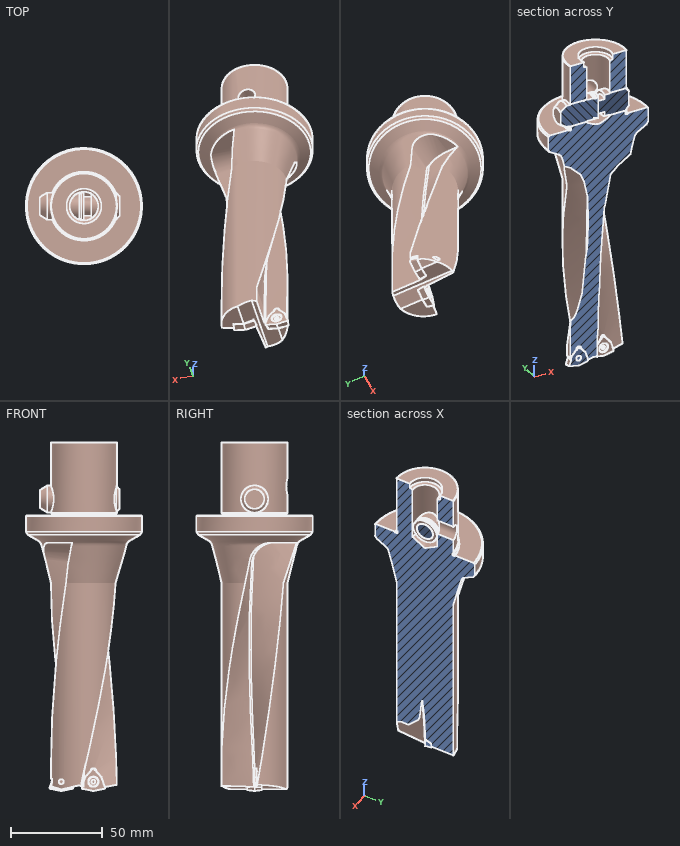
import cadquery as cq
import math


TOTAL_HEIGHT = 190.0
SHANK_R = 18.0
SHANK_CHAMFER = 0.28
DRILL_R = SHANK_R
RELIEF_R = 17.5
RELIEF_TOP_Z = 151.5
RELIEF_GROOVE_R = 18.8
RELIEF_GROOVE_DEPTH = 0.5
COLLAR_R = 31.7
COLLAR_TOP_Z = 150.3
COLLAR_TOP_CHAMFER = 0.8
COLLAR_BOTTOM_Z = 141.2
COLLAR_EDGE_R = 30.5
COLLAR_EDGE_Z = 139.5
FLANGE_R = 24.9
FLANGE_Z = 136.2
NECK_R = 23.2
NECK_Z = 133.8
NECK_MID_R = 23.8
NECK_MID_Z = 135.0
DRILL_TOP_Z = 113.5

BORE_R = 7.8
MOUTH_R = 9.5
MOUTH_DEPTH = 3.0
MOUTH_CONE_DEPTH = 0.8
BORE_BOTTOM_Z = 151.6
BORE_TIP_ANGLE = 118.0

PIN_Z = 159.0
PIN_R = 7.5
PIN_END_R = 5.3
PIN_FACE_CHAMFER = 0.5
CLAMP_PIN_END_X = -24.0
CLAMP_PIN_SHOULDER_X = -20.0
CLAMP_PIN_GROOVE_X = -2.7
CLAMP_PIN_GROOVE_WIDTH = 1.1
CLAMP_PIN_GROOVE_DEPTH = 0.5
PIN_MEETING_X = 0.0
THRUST_PIN_END_X = 19.4
THRUST_PIN_SHOULDER_X = 17.5
THRUST_PIN_NOSE_R = 5.1
THRUST_PIN_NOSE_X = 4.0
SIDE_HOLE_R = 4.8
SIDE_HOLE_Z = 165.9

FLUTE_START_Z = 13.1
FLUTE_TOP_Z = 135.3
FLUTE_SECTIONS = 10
FLUTE_REACH = 34.2
FLUTE_CORNER = 0.8
FLUTE_END_R = 12.4
FLUTE_RISE = DRILL_TOP_Z - FLUTE_START_Z
FLUTE_TURN = 72.5 / FLUTE_RISE
CORE_GROWTH = 4.8 / FLUTE_RISE
INNER_FLUTE_OFFSET = -0.5
INNER_FRONT_TILT = 4.0
INNER_BACK_TILT = 10.0
INNER_BACK_TILT_LOSS = 6.5 / FLUTE_RISE
OUTER_FLUTE_OFFSET = 5.5
BELOW_TIP_Z = -1.9

INSERT_THICKNESS = 4.0
INSERT_MID_R = 5.1
INSERT_CORNER_DISTANCE = 7.6
INSERT_RELIEF_ANGLE = 7.0
INSERT_CORNER_R = 0.5
INSERT_Z = INSERT_MID_R
INNER_INSERT_X = 5.1
OUTER_INSERT_X = -12.4
CORNER_RELIEF_R = 1.5
CORNER_RELIEF_HEIGHT = 5.9
SEAT_FLAT_X = -17.3
SEAT_FLAT_Z = 6.8
SCREW_HEAD_R = 2.8
SCREW_HEAD_DEPTH = 1.9
SCREW_R = 1.3
SCREW_SINK = 0.4
SCREW_LENGTH = 9.5
SOCKET_R = 1.1
SOCKET_DEPTH = 1.0

NOSE_Z = 1.0
NOSE_OUTER_Z = 2.7
NOSE_RIM_Z = 3.5
NOSE_MIDDLE_Z = 3.0
NOSE_MIDDLE_X = -2.8


def turned_blank():
    """Shank, collar, neck and drill body as one turned shape."""
    outline = (
        cq.Workplane("XZ")
        .moveTo(0, 0)
        .lineTo(DRILL_R, 0)
        .lineTo(DRILL_R, DRILL_TOP_Z)
        .lineTo(NECK_R, NECK_Z)
        .threePointArc((NECK_MID_R, NECK_MID_Z), (FLANGE_R, FLANGE_Z))
        .lineTo(COLLAR_EDGE_R, COLLAR_EDGE_Z)
        .lineTo(COLLAR_R, COLLAR_BOTTOM_Z)
        .lineTo(COLLAR_R, COLLAR_TOP_Z - COLLAR_TOP_CHAMFER)
        .lineTo(COLLAR_R - COLLAR_TOP_CHAMFER, COLLAR_TOP_Z)
        .lineTo(RELIEF_GROOVE_R, COLLAR_TOP_Z)
        .lineTo(RELIEF_GROOVE_R, COLLAR_TOP_Z - RELIEF_GROOVE_DEPTH)
        .lineTo(RELIEF_R, COLLAR_TOP_Z - RELIEF_GROOVE_DEPTH)
        .lineTo(RELIEF_R, RELIEF_TOP_Z - (SHANK_R - RELIEF_R))
        .lineTo(SHANK_R, RELIEF_TOP_Z)
        .lineTo(SHANK_R, TOTAL_HEIGHT - SHANK_CHAMFER)
        .lineTo(SHANK_R - SHANK_CHAMFER, TOTAL_HEIGHT)
        .lineTo(0, TOTAL_HEIGHT)
        .close()
    )
    return outline.revolve(360, (0, 0, 0), (0, 1, 0))


def bore():
    """Stepped blind bore with a conical bottom."""
    mouth_z = TOTAL_HEIGHT - MOUTH_DEPTH
    tip_z = BORE_BOTTOM_Z - BORE_R / math.tan(math.radians(BORE_TIP_ANGLE / 2))
    outline = (
        cq.Workplane("XZ")
        .moveTo(0, tip_z)
        .lineTo(BORE_R, BORE_BOTTOM_Z)
        .lineTo(BORE_R, mouth_z - MOUTH_CONE_DEPTH)
        .lineTo(MOUTH_R, mouth_z)
        .lineTo(MOUTH_R, TOTAL_HEIGHT)
        .lineTo(0, TOTAL_HEIGHT)
        .close()
    )
    return outline.revolve(360, (0, 0, 0), (0, 1, 0))


def side_hole():
    """Round hole from the +Y side of the shank into the bore."""
    return (
        cq.Workplane("XZ", origin=(0, 0, SIDE_HOLE_Z))
        .circle(SIDE_HOLE_R)
        .extrude(-COLLAR_R)
    )


def turned_about_x(points):
    """Solid of revolution about the pin axis from (x, radius) points."""
    outline = cq.Workplane("XY", origin=(0, 0, PIN_Z)).polyline(points).close()
    return outline.revolve(360, (0, 0, 0), (1, 0, 0))


def make_clamp_pin():
    """Grooved pin with a conical head that stands out of the -X side."""
    groove_end_x = CLAMP_PIN_GROOVE_X + CLAMP_PIN_GROOVE_WIDTH
    groove_r = PIN_R - CLAMP_PIN_GROOVE_DEPTH
    return turned_about_x([
        (CLAMP_PIN_END_X, 0),
        (CLAMP_PIN_END_X, PIN_END_R - PIN_FACE_CHAMFER),
        (CLAMP_PIN_END_X + PIN_FACE_CHAMFER, PIN_END_R),
        (CLAMP_PIN_SHOULDER_X, PIN_R),
        (CLAMP_PIN_GROOVE_X, PIN_R),
        (CLAMP_PIN_GROOVE_X, groove_r),
        (groove_end_x, groove_r),
        (groove_end_x, PIN_R),
        (PIN_MEETING_X, PIN_R),
        (PIN_MEETING_X, 0),
    ])


def make_thrust_pin():
    """Stepped pin that stands out of the +X side."""
    return turned_about_x([
        (PIN_MEETING_X, 0),
        (PIN_MEETING_X, THRUST_PIN_NOSE_R),
        (THRUST_PIN_NOSE_X, THRUST_PIN_NOSE_R),
        (THRUST_PIN_NOSE_X, PIN_R),
        (THRUST_PIN_SHOULDER_X, PIN_R),
        (THRUST_PIN_END_X, PIN_END_R),
        (THRUST_PIN_END_X, 0),
    ])


def pin_hole():
    """Cross hole through the shank for both pins."""
    return (
        cq.Workplane("YZ", origin=(-COLLAR_R, 0, PIN_Z))
        .circle(PIN_R)
        .extrude(2 * COLLAR_R)
    )


def direction(angle):
    """Unit vector at an angle in degrees from +X."""
    return cq.Vector(math.cos(math.radians(angle)), math.sin(math.radians(angle)), 0)


def flute_section(z, turn, offset, core, front_tilt, back_tilt):
    """Corner-shaped flute outline at height z, for the flute on the -X, +Y side.

    Without turn, the inner corner lies at X = -offset, Y = core; the front wall runs to +Y
    and the back wall to -X. The tilts turn each wall further about that corner.
    """
    front_wall = direction(90 + turn + front_tilt)
    back_wall = direction(180 + turn + back_tilt)
    corner = direction(180 + turn) * offset + direction(90 + turn) * core + cq.Vector(0, 0, z)
    return cq.Wire.makePolygon([
        corner + back_wall * FLUTE_CORNER,
        corner + front_wall * FLUTE_CORNER,
        corner + front_wall * FLUTE_REACH,
        corner + (front_wall + back_wall) * FLUTE_REACH,
        corner + back_wall * FLUTE_REACH,
    ], close=True)


def helical_flute(start_z, offset, front_tilt, start_back_tilt, back_tilt_loss):
    """Flute that turns and gets shallower upwards and ends in a rounded run-out."""
    sections = []
    for i in range(FLUTE_SECTIONS):
        z = start_z + (FLUTE_TOP_Z - start_z) * i / (FLUTE_SECTIONS - 1)
        rise = z - FLUTE_START_Z
        core = max(0, rise * CORE_GROWTH)
        back_tilt = start_back_tilt - rise * back_tilt_loss
        sections.append(flute_section(z, rise * FLUTE_TURN, offset, core, front_tilt, back_tilt))
    flute = cq.Workplane(cq.Solid.makeLoft(sections))
    top_turn = (FLUTE_TOP_Z - FLUTE_START_Z) * FLUTE_TURN
    wall_middle = (
        direction(180 + top_turn) * offset
        + direction(90 + top_turn + front_tilt) * (FLUTE_REACH / 2)
        + cq.Vector(0, 0, FLUTE_TOP_Z)
    )
    wall_edge = cq.selectors.NearestToPointSelector(wall_middle.toTuple())
    return flute.edges(wall_edge).fillet(FLUTE_END_R)


def inner_flute():
    """Flute in front of the inner insert."""
    flute = helical_flute(
        BELOW_TIP_Z,
        INNER_FLUTE_OFFSET,
        INNER_FRONT_TILT,
        INNER_BACK_TILT,
        INNER_BACK_TILT_LOSS,
    )
    return flute.rotate((0, 0, 0), (0, 0, 1), 180)


def outer_flute_parts():
    """Helical flute in front of the outer insert and its straight lower end."""
    helical = helical_flute(FLUTE_START_Z, OUTER_FLUTE_OFFSET, 0, 0, 0)
    section = flute_section(BELOW_TIP_Z, 0, OUTER_FLUTE_OFFSET, 0, 0, 0)
    height = cq.Vector(0, 0, FLUTE_START_Z - BELOW_TIP_Z)
    return helical, cq.Workplane(cq.Solid.extrudeLinear(section, [], height))


def end_waste():
    """Material below the roof-shaped end face."""
    return (
        cq.Workplane("XZ")
        .polyline([
            (-COLLAR_R, BELOW_TIP_Z),
            (-COLLAR_R, NOSE_OUTER_Z),
            (-DRILL_R, NOSE_OUTER_Z),
            (OUTER_INSERT_X, NOSE_Z),
            (NOSE_MIDDLE_X, NOSE_MIDDLE_Z),
            (INNER_INSERT_X, NOSE_Z),
            (DRILL_R, NOSE_RIM_Z),
            (COLLAR_R, NOSE_RIM_Z),
            (COLLAR_R, BELOW_TIP_Z),
        ])
        .close()
        .extrude(COLLAR_R, both=True)
    )


def seat_flat():
    """Material outside the outer insert that is cut away to a flat facing -X."""
    return cq.Workplane("XY").box(
        COLLAR_R,
        INSERT_THICKNESS,
        SEAT_FLAT_Z - BELOW_TIP_Z,
        centered=False,
    ).translate((SEAT_FLAT_X - COLLAR_R, -INSERT_THICKNESS, BELOW_TIP_Z))



def insert_blank():
    """Six-sided trigon plate with rounded corners and tapered flanks, one corner up."""
    points = []
    for i in range(6):
        angle = math.radians(90 + 60 * i)
        distance = INSERT_MID_R if i % 2 else INSERT_CORNER_DISTANCE
        points.append((distance * math.cos(angle), distance * math.sin(angle)))
    outline = cq.Workplane("XZ").polyline(points).close()
    plate = outline.extrude(-INSERT_THICKNESS, taper=INSERT_RELIEF_ANGLE)
    for x, z in points[::2]:
        corner = cq.selectors.NearestToPointSelector((x, INSERT_THICKNESS / 2, z))
        plate = plate.edges(corner).fillet(INSERT_CORNER_R)
    return plate


def screw_hole():
    """Countersunk hole for the screw."""
    outline = (
        cq.Workplane("XY")
        .polyline([
            (0, 0),
            (SCREW_HEAD_R, 0),
            (SCREW_R, SCREW_HEAD_DEPTH),
            (SCREW_R, SCREW_LENGTH),
            (0, SCREW_LENGTH),
        ])
        .close()
    )
    return outline.revolve(360, (0, 0, 0), (0, 1, 0))


def make_insert():
    """Trigon insert with a countersunk centre hole."""
    return insert_blank().cut(screw_hole())


def make_screw():
    """Countersunk screw with a hexagon socket, sunk in its hole."""
    sunk = cq.Workplane("XZ").circle(SCREW_HEAD_R).extrude(-SCREW_SINK)
    socket = cq.Workplane("XZ").polygon(6, 2 * SOCKET_R).extrude(-SCREW_SINK - SOCKET_DEPTH)
    return screw_hole().cut(sunk).cut(socket)


def pocket():
    """Insert seat with its corner relief."""
    relief = (
        cq.Workplane("XZ")
        .center(0, CORNER_RELIEF_HEIGHT)
        .circle(CORNER_RELIEF_R)
        .extrude(-INSERT_THICKNESS)
    )
    return insert_blank().union(relief).union(screw_hole())


def screw_exit():
    """Continuation of the screw hole out of the holder."""
    return cq.Workplane("XZ").circle(SCREW_R).extrude(-COLLAR_R)


def at_inner_seat(shape):
    """Shape moved to the inner seat, still facing -Y."""
    return shape.translate((INNER_INSERT_X, 0, INSERT_Z))


def at_outer_seat(shape):
    """Shape turned to face +Y and moved to the outer seat."""
    return shape.rotate((0, 0, 0), (0, 0, 1), 180).translate((OUTER_INSERT_X, 0, INSERT_Z))


SEATS = (at_inner_seat, at_outer_seat)


def make_holder():
    """Turned blank with bore, cross holes, flutes, end face and insert seats cut."""
    holder = turned_blank().cut(bore()).cut(side_hole()).cut(pin_hole())
    holder = holder.cut(inner_flute())
    for flute_part in outer_flute_parts():
        holder = holder.cut(flute_part)
    holder = holder.cut(end_waste()).cut(seat_flat())
    for place in SEATS:
        holder = holder.cut(place(pocket()))
    return holder.cut(at_outer_seat(screw_exit()))


holder = make_holder()
clamp_pin = make_clamp_pin()
thrust_pin = make_thrust_pin()
inserts = [place(make_insert()) for place in SEATS]
screws = [place(make_screw()) for place in SEATS]

result = cq.Compound.makeCompound([
    holder.val(),
    clamp_pin.val(),
    thrust_pin.val(),
    *[insert.val() for insert in inserts],
    *[screw.val() for screw in screws],
])